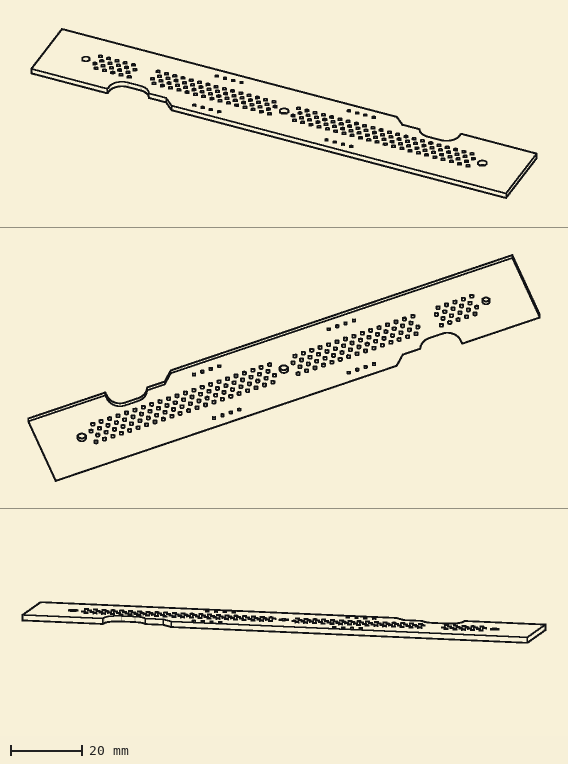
import cadquery as cq

length = 146.0
width = 21.0
thickness = 1.6

end_hole_spacing = 122.0
locating_diameter = 2.5
left_hole_diameter = 2.2

pitches_between_end_holes = 48
pitch = end_hole_spacing / pitches_between_end_holes
contact_diameter = 1.0
row_count = 4
row_spacing = 1.9
column_count = 46
blank_columns = (5, 6, 22, 23)

hole_line_y = 0.09

small_diameter = 0.8
small_row_spacing = 15.3
small_holes_per_row = 4
small_first_x = 6.5 * pitch

notch_pair_center_x = 0.07
notch_start_x = 30.0
notch_end_x = 49.7
ramp_run = 2.9
step_depth = 2.8
pocket_start_x = 37.8
pocket_depth = 5.1
pocket_radius = 4.0


def edge_notch():
    """Cutter for the +Y edge: a ramp, a shallow step and a deeper pocket with rounded corners."""
    edge_y = width / 2
    step_y = edge_y - step_depth
    step_end_x = notch_end_x - pocket_radius
    step = (
        cq.Workplane("XY")
        .moveTo(notch_start_x, edge_y)
        .lineTo(notch_start_x + ramp_run, step_y)
        .lineTo(step_end_x, step_y)
        .lineTo(step_end_x, edge_y)
        .close()
        .extrude(thickness)
    )
    pocket = (
        cq.Workplane("XY")
        .box(notch_end_x - pocket_start_x, pocket_depth, thickness, centered=False)
        .translate((pocket_start_x, edge_y - pocket_depth, 0))
        .edges("|Z and <Y")
        .fillet(pocket_radius)
    )
    return step.union(pocket)


def contact_points():
    """Centres of the contact holes; every second row is shifted by half a pitch."""
    half_pitch = pitch / 2
    grid_width = (column_count - 1) * pitch + half_pitch
    top_row_y = hole_line_y + (row_count - 1) * row_spacing / 2
    points = []
    for row in range(row_count):
        row_start_x = -grid_width / 2 + (row % 2) * half_pitch
        row_y = top_row_y - row * row_spacing
        for column in range(column_count):
            if column not in blank_columns:
                points.append((row_start_x + column * pitch, row_y))
    return points


def small_points():
    """Centres of the small holes, mirrored about both middle lines of the plate."""
    row_y = small_row_spacing / 2
    points = []
    for index in range(small_holes_per_row):
        x = small_first_x + index * pitch
        points += [(-x, -row_y), (-x, row_y), (x, -row_y), (x, row_y)]
    return points


def hole_cutters(points, diameter):
    """Cylinders through the full plate thickness at the given centres."""
    return cq.Workplane("XY").pushPoints(points).circle(diameter / 2).extrude(thickness)


plate = cq.Workplane("XY").box(length, width, thickness, centered=(True, True, False))

for angle in (0, 180):
    notch = edge_notch().rotate((0, 0, 0), (0, 0, 1), angle)
    plate = plate.cut(notch.translate((notch_pair_center_x, 0, 0)))

end_hole_x = end_hole_spacing / 2
plate = plate.cut(hole_cutters([(-end_hole_x, hole_line_y)], left_hole_diameter))
plate = plate.cut(hole_cutters([(0, hole_line_y), (end_hole_x, hole_line_y)], locating_diameter))
plate = plate.cut(hole_cutters(contact_points(), contact_diameter))
plate = plate.cut(hole_cutters(small_points(), small_diameter))

result = plate